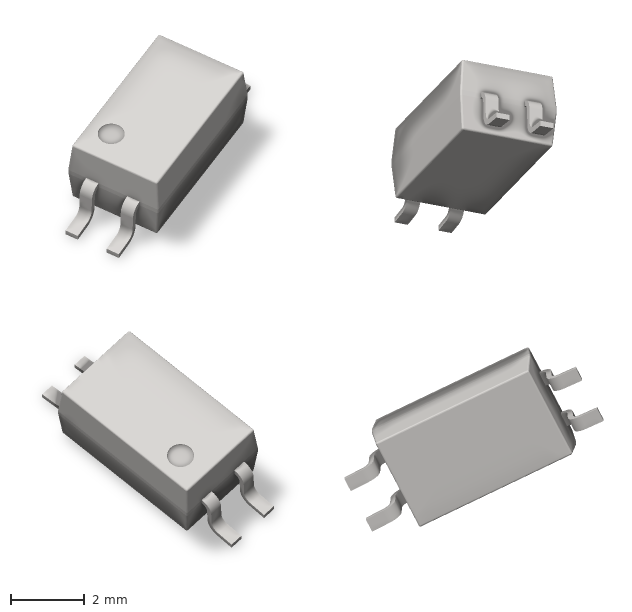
import math

import cadquery as cq

body_width = 2.84
body_length = 4.8
body_top = 2.2
body_bottom = 0.1
belt_top = 1.235
lead_thickness = 0.155
belt_bottom = belt_top - lead_thickness
draft_angle = math.radians(5.0)
edge_radius = 0.05

dimple_x = -0.63
dimple_y = -1.42
dimple_radius = 0.365
dimple_depth = 0.1

lead_span = 7.01
lead_width = 0.385
lead_pitch = 1.29
shoulder_radius = 0.35
ankle_radius = 0.245
leg_tilt = math.radians(2.5)
foot_tilt = math.radians(5.0)


def rounded_section(z, inset):
    """Face across the housing at height z, drawn in by the inset on all four sides."""
    return (
        cq.Sketch()
        .rect(body_width - 2 * inset, body_length - 2 * inset)
        .vertices()
        .fillet(edge_radius)
        .moved(cq.Location(cq.Vector(0, 0, z)))
    )


def tapered_half(belt_z, end_z, end_selector):
    """Half of the housing, tapering from the belt to an end face with rounded edges."""
    inset = abs(end_z - belt_z) * math.tan(draft_angle)
    return (
        cq.Workplane("XY")
        .placeSketch(rounded_section(belt_z, 0), rounded_section(end_z, inset))
        .loft(ruled=True)
        .faces(end_selector)
        .edges()
        .fillet(edge_radius)
    )


def make_housing():
    """Drafted moulding with a straight belt, rounded edges and a pin-one dimple."""
    belt = (
        cq.Workplane("XY")
        .placeSketch(rounded_section(belt_bottom, 0))
        .extrude(lead_thickness)
    )
    upper_half = tapered_half(belt_top, body_top, ">Z")
    lower_half = tapered_half(belt_bottom, body_bottom, "<Z")
    return belt.union(upper_half).union(lower_half).cut(make_dimple())


def make_dimple():
    """Cutter for the dimple: a disc whose wall curves into a flat floor."""
    return (
        cq.Workplane("XZ")
        .lineTo(dimple_radius, 0)
        .radiusArc((dimple_radius - dimple_depth, -dimple_depth), dimple_depth)
        .lineTo(0, -dimple_depth)
        .close()
        .revolve(360, (0, 0, 0), (0, 1, 0))
        .translate((dimple_x, dimple_y, body_top))
    )


def on_arc(center, radius, angle):
    """Point at an angle, in radians, on an arc in the lead's side profile."""
    return (center[0] + radius * math.cos(angle), center[1] + radius * math.sin(angle))


def make_lead():
    """Lead bent from strip; it leaves the housing's +Y end, centred on X = 0."""
    reach = (lead_span - body_length) / 2
    shoulder_inner = shoulder_radius - lead_thickness
    ankle_outer = ankle_radius + lead_thickness

    shoulder_center = (0, belt_top - shoulder_radius)
    shoulder_start = math.pi / 2
    shoulder_end = leg_tilt
    shoulder_middle = (shoulder_start + shoulder_end) / 2

    ankle_start = math.pi + leg_tilt
    ankle_end = 1.5 * math.pi - foot_tilt
    ankle_middle = (ankle_start + ankle_end) / 2
    bend_offset = shoulder_radius + ankle_radius
    unstretched_y = bend_offset * math.cos(leg_tilt)
    unstretched_z = shoulder_center[1] + bend_offset * math.sin(leg_tilt)
    ankle_height = ankle_outer / math.cos(foot_tilt)
    leg_length = (
        unstretched_z - ankle_height - (reach - unstretched_y) * math.tan(foot_tilt)
    ) / (math.cos(leg_tilt) - math.sin(leg_tilt) * math.tan(foot_tilt))
    ankle_center = (
        unstretched_y + leg_length * math.sin(leg_tilt),
        unstretched_z - leg_length * math.cos(leg_tilt),
    )
    tip_height = lead_thickness / math.cos(foot_tilt)

    profile = (
        cq.Workplane("YZ")
        .moveTo(0, belt_top)
        .threePointArc(
            on_arc(shoulder_center, shoulder_radius, shoulder_middle),
            on_arc(shoulder_center, shoulder_radius, shoulder_end),
        )
        .lineTo(*on_arc(ankle_center, ankle_radius, ankle_start))
        .threePointArc(
            on_arc(ankle_center, ankle_radius, ankle_middle),
            on_arc(ankle_center, ankle_radius, ankle_end),
        )
        .lineTo(reach, tip_height)
        .lineTo(reach, 0)
        .lineTo(*on_arc(ankle_center, ankle_outer, ankle_end))
        .threePointArc(
            on_arc(ankle_center, ankle_outer, ankle_middle),
            on_arc(ankle_center, ankle_outer, ankle_start),
        )
        .lineTo(*on_arc(shoulder_center, shoulder_inner, shoulder_end))
        .threePointArc(
            on_arc(shoulder_center, shoulder_inner, shoulder_middle),
            (0, belt_bottom),
        )
        .close()
    )
    return profile.extrude(lead_width / 2, both=True).translate((0, body_length / 2, 0))


housing = make_housing()

leads = []
for lead_x in (-lead_pitch / 2, lead_pitch / 2):
    for end_turn in (0, 180):
        lead = make_lead().rotate((0, 0, 0), (0, 0, 1), end_turn).translate((lead_x, 0, 0))
        leads.append(lead.val())

result = cq.Compound.makeCompound([housing.val(), *leads])